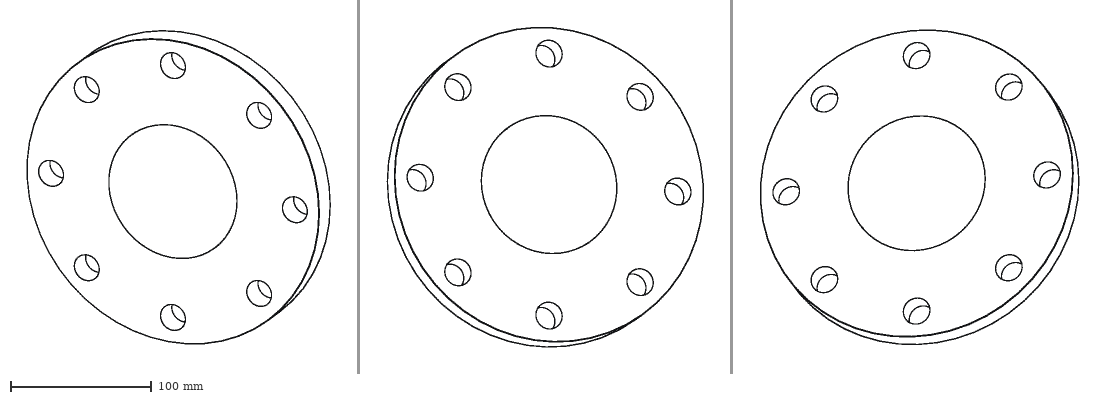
import cadquery as cq

flange_diameter = 228.5
flange_thickness = 20.0
rim_chamfer = 0.5

bolt_count = 8
bolt_circle_diameter = 190.5
bolt_hole_diameter = 19.2
bolt_hole_chamfer = 0.15

plug_diameter = 100.0
plug_clearance = 0.25
bore_diameter = plug_diameter + 2 * plug_clearance


def front_face_plane():
    """Workplane on the -Y face of the flange, with its normal pointing to -Y."""
    return cq.Workplane("XZ", origin=(0, -flange_thickness / 2, 0))


def disc(diameter):
    """Solid disc of the flange thickness, with its axis along Y."""
    return front_face_plane().circle(diameter / 2).extrude(-flange_thickness)


def bolt_holes():
    """Cutting cylinders for the bolt circle; the first lies on the +X axis."""
    centres = front_face_plane().polarArray(bolt_circle_diameter / 2, 0, 360, bolt_count)
    return centres.circle(bolt_hole_diameter / 2).extrude(-flange_thickness)


def make_flange():
    """Disc with a ring of through holes and a central bore; the rims and hole mouths are chamfered."""
    rimmed = disc(flange_diameter).faces("<Y or >Y").edges().chamfer(rim_chamfer)
    drilled = rimmed.cut(bolt_holes())
    hole_mouths = drilled.faces("<Y or >Y").edges(cq.selectors.RadiusNthSelector(0))
    return hole_mouths.chamfer(bolt_hole_chamfer).cut(disc(bore_diameter))


def make_plug():
    """Plain disc seated in the flange bore."""
    return disc(plug_diameter)


flange = make_flange()
plug = make_plug()

result = cq.Compound.makeCompound([flange.val(), plug.val()])